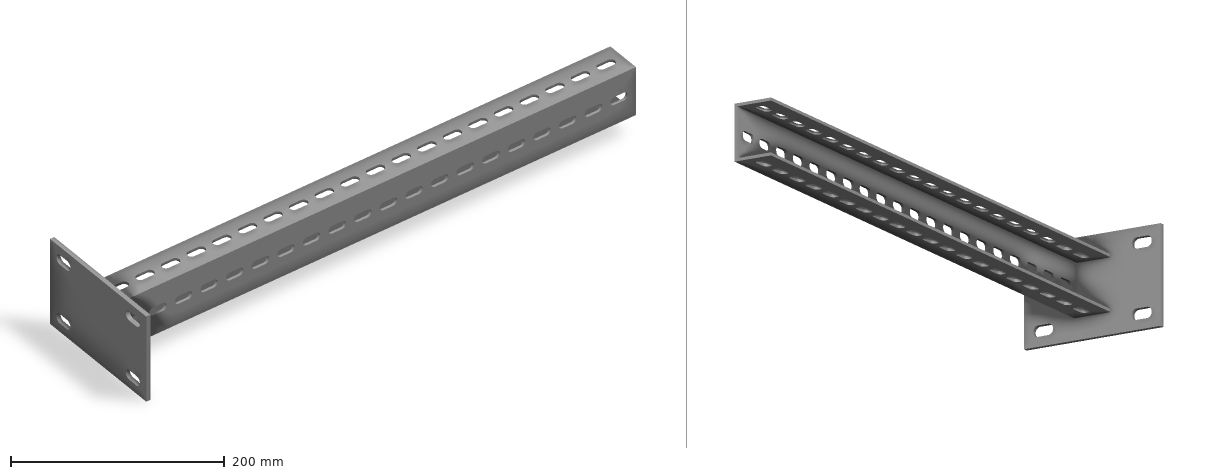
import cadquery as cq

total_length = 615.0
plate_width = 150.0
plate_height = 100.0
plate_thickness = 5.0

channel_width = 40.0
channel_height = 56.5
sheet_thickness = 3.0

slot_edge_gap = 10.0

rail_slot_count = 20
rail_slot_length = 20.0
rail_slot_width = 9.0

plate_slot_length = 22.0
plate_slot_width = 11.0

channel_length = total_length - plate_thickness
rail_slot_pitch = (channel_length - 2 * slot_edge_gap - rail_slot_length) / (rail_slot_count - 1)
rail_slot_middle = plate_thickness + channel_length / 2
plate_slot_spacing_x = plate_width - 2 * slot_edge_gap - plate_slot_length
plate_slot_spacing_z = plate_height - 2 * slot_edge_gap - plate_slot_width


def make_plate():
    """End plate with one horizontal slot near each corner."""
    return (
        cq.Workplane("XZ")
        .rect(plate_width, plate_height)
        .extrude(-plate_thickness)
        .faces("<Y")
        .workplane(centerOption="CenterOfBoundBox")
        .rarray(plate_slot_spacing_x, plate_slot_spacing_z, 2, 2)
        .slot2D(plate_slot_length, plate_slot_width)
        .cutThruAll()
    )


def make_channel():
    """U-channel with its web on the +X side, open toward -X."""
    outer = (
        cq.Workplane("XZ", origin=(0, plate_thickness, 0))
        .rect(channel_width, channel_height)
        .extrude(-channel_length)
    )
    inside = (
        cq.Workplane("XZ", origin=(-sheet_thickness, plate_thickness, 0))
        .rect(channel_width, channel_height - 2 * sheet_thickness)
        .extrude(-channel_length)
    )
    return outer.cut(inside)


def make_flange_slots():
    """Row of cutters along Y that pass through both flanges."""
    return (
        cq.Workplane("XY", origin=(0, rail_slot_middle, 0))
        .rarray(6, rail_slot_pitch, 1, rail_slot_count)
        .slot2D(rail_slot_length, rail_slot_width, 90)
        .extrude(channel_height, both=True)
    )


def make_web_slots():
    """Row of cutters along Y that pass through the web."""
    return (
        cq.Workplane("YZ", origin=(0, rail_slot_middle, 0))
        .rarray(rail_slot_pitch, 6, rail_slot_count, 1)
        .slot2D(rail_slot_length, rail_slot_width)
        .extrude(channel_width)
    )


channel = make_channel().cut(make_flange_slots()).cut(make_web_slots())
result = make_plate().union(channel)